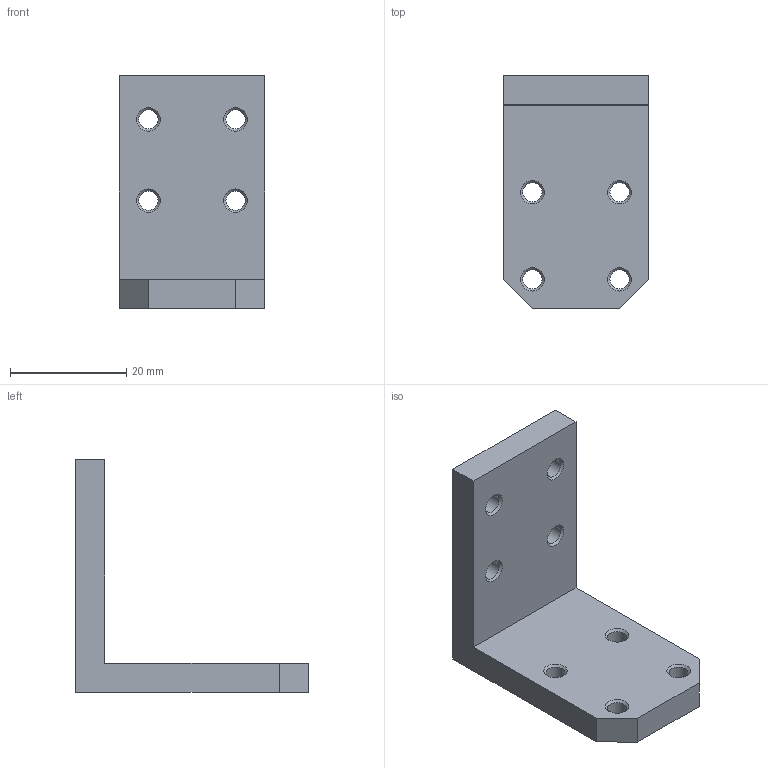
import cadquery as cq

width = 25.0
depth = 40.0
height = 40.0
thickness = 5.0
corner_chamfer = 5.0

hole_diameter = 3.3
mouth_diameter = 4.05
mouth_chamfer = (mouth_diameter - hole_diameter) / 2
hole_spacing_x = 15.0
base_hole_spacing = 15.0
base_hole_front_margin = 5.0
wall_hole_spacing = 14.0
wall_hole_top_margin = 7.5

left_hole_x = -hole_spacing_x / 2
right_hole_x = hole_spacing_x / 2
base_front_y = base_hole_front_margin
base_back_y = base_front_y + base_hole_spacing
wall_top_z = height - wall_hole_top_margin
wall_bottom_z = wall_top_z - wall_hole_spacing


def make_bracket():
    """L-shaped body: flat base with a wall along its back edge."""
    base = cq.Workplane("XY").box(width, depth, thickness, centered=(True, False, False))
    base = base.edges("|Z and <Y").chamfer(corner_chamfer)
    wall = (
        cq.Workplane("XY")
        .center(0, depth - thickness)
        .box(width, thickness, height, centered=(True, False, False))
    )
    return base.union(wall)


def make_hole_cutter(mouth_centre, inward):
    """Bore through one plate with a 45-degree chamfer at its inner-face mouth."""
    profile = [
        (0, 0),
        (mouth_diameter / 2, 0),
        (hole_diameter / 2, mouth_chamfer),
        (hole_diameter / 2, thickness),
        (0, thickness),
    ]
    cutter = cq.Workplane("XZ").polyline(profile).close().revolve(360, (0, 0, 0), (0, 1, 0))
    plane = cq.Plane(origin=mouth_centre, xDir=(1, 0, 0), normal=inward)
    return cutter.val().moved(cq.Location(plane))


result = make_bracket()

for x in (left_hole_x, right_hole_x):
    for y in (base_front_y, base_back_y):
        result = result.cut(make_hole_cutter((x, y, thickness), (0, 0, -1)))
    for z in (wall_bottom_z, wall_top_z):
        result = result.cut(make_hole_cutter((x, depth - thickness, z), (0, 1, 0)))